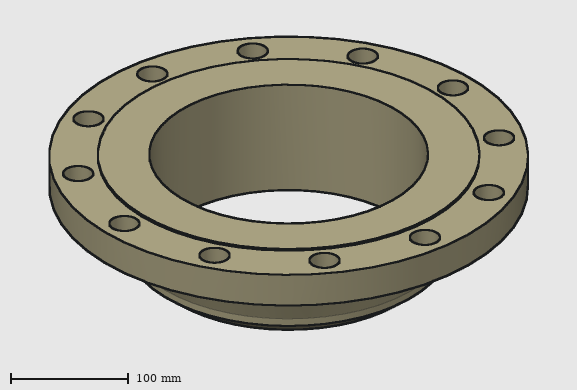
import cadquery as cq

flange_diameter = 406.5
overall_height = 103.2
flange_thickness = 31.5
raised_face_diameter = 324.0
raised_face_height = 1.5
bore_diameter = 236.5

hub_base_diameter = 305.2
weld_end_diameter = 273.0
weld_end_height = 20.5
bevel_height = 13.5
bevel_tip_diameter = 239.8
hub_fillet_radius = 9.8

bolt_count = 12
bolt_circle_diameter = 362.0
bolt_hole_diameter = 25.5

flange_bottom = overall_height - flange_thickness
flange_top = overall_height - raised_face_height


def make_body():
    """Revolve the half section, bore included, about Z; the weld end sits at Z = 0."""
    section = (
        cq.Workplane("XZ")
        .moveTo(bore_diameter / 2, 0)
        .lineTo(bevel_tip_diameter / 2, 0)
        .lineTo(weld_end_diameter / 2, bevel_height)
        .lineTo(weld_end_diameter / 2, weld_end_height)
        .lineTo(hub_base_diameter / 2, flange_bottom)
        .lineTo(flange_diameter / 2, flange_bottom)
        .lineTo(flange_diameter / 2, flange_top)
        .lineTo(raised_face_diameter / 2, flange_top)
        .lineTo(raised_face_diameter / 2, overall_height)
        .lineTo(bore_diameter / 2, overall_height)
        .close()
    )
    return section.revolve(360, (0, 0, 0), (0, 1, 0))


def fillet_hub_base(body):
    """Round the inside corner where the hub meets the underside of the flange."""
    hub_base_edge = cq.selectors.RadiusNthSelector(0)
    underside = body.faces("-Z").faces(">Z")
    return underside.edges(hub_base_edge).fillet(hub_fillet_radius)


def make_bolt_holes():
    """Cylinders on the bolt circle, the first one on the +X axis."""
    return (
        cq.Workplane("XY")
        .polarArray(bolt_circle_diameter / 2, 0, 360, bolt_count)
        .circle(bolt_hole_diameter / 2)
        .extrude(overall_height)
    )


result = fillet_hub_base(make_body()).cut(make_bolt_holes())